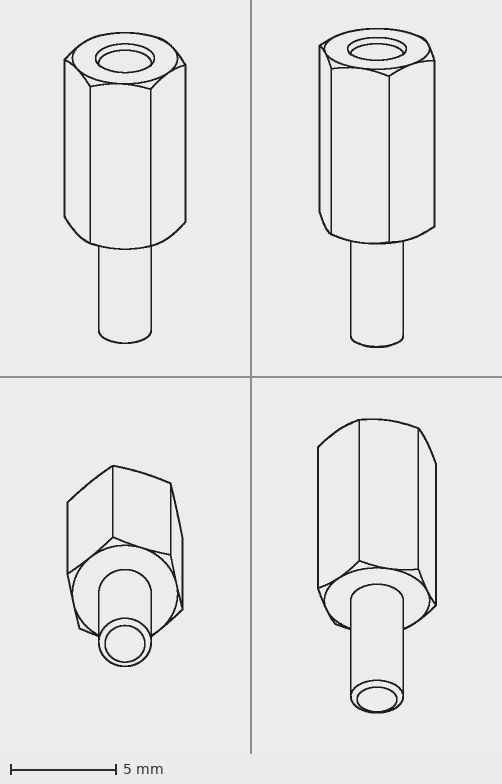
import cadquery as cq
import math

across_flats = 5.005
across_corners = across_flats / math.cos(math.radians(30))
body_length = 9.0
corner_chamfer_angle = 30.0

stud_diameter = 2.5
stud_length = 6.0
stud_chamfer_radial = 0.3
stud_chamfer_angle = 30.0

hole_diameter = 2.5
hole_depth = 6.0
hole_mouth_diameter = 2.8
hole_mouth_angle = 60.0
drill_point_angle = 120.0


def revolve_profile(points):
    """Solid of revolution about Z from (radius, z) points."""
    return cq.Workplane("XZ").polyline(points).close().revolve(360, (0, 0), (0, 1))


def hex_body():
    """Hexagonal prism whose corners are cut back by a cone at both ends."""
    prism = cq.Workplane("XY").polygon(6, across_corners).extrude(body_length)
    face_radius = across_flats / 2
    corner_radius = across_corners / 2
    cone_height = (corner_radius - face_radius) * math.tan(math.radians(corner_chamfer_angle))
    envelope = revolve_profile([
        (0, 0),
        (face_radius, 0),
        (corner_radius, cone_height),
        (corner_radius, body_length - cone_height),
        (face_radius, body_length),
        (0, body_length),
    ])
    return prism.intersect(envelope)


def stud():
    """Round stud with a chamfered tip."""
    radius = stud_diameter / 2
    chamfer_height = stud_chamfer_radial * math.tan(math.radians(stud_chamfer_angle))
    return revolve_profile([
        (0, 0),
        (radius, 0),
        (radius, chamfer_height - stud_length),
        (radius - stud_chamfer_radial, -stud_length),
        (0, -stud_length),
    ])


def blind_hole():
    """Drilled hole with a countersunk mouth and a conical bottom."""
    radius = hole_diameter / 2
    mouth_radius = hole_mouth_diameter / 2
    mouth_depth = (mouth_radius - radius) / math.tan(math.radians(hole_mouth_angle / 2))
    floor_z = body_length - hole_depth
    point_height = radius / math.tan(math.radians(drill_point_angle / 2))
    return revolve_profile([
        (0, body_length),
        (mouth_radius, body_length),
        (radius, body_length - mouth_depth),
        (radius, floor_z),
        (0, floor_z - point_height),
    ])


result = hex_body().union(stud()).cut(blind_hole())